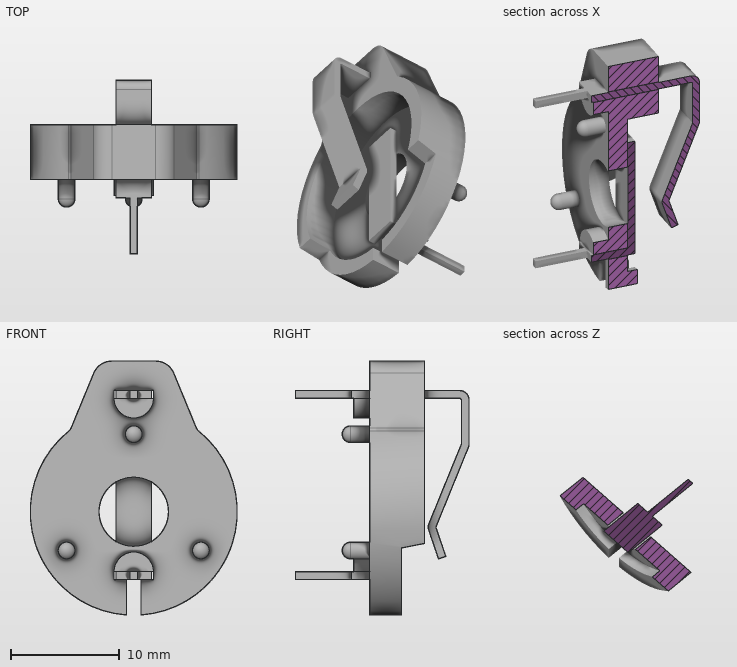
import cadquery as cq
import math


body_radius = 9.515
body_depth = 5.07
neck_top_z = 13.85
neck_half_width = 3.22
neck_flank_angle = 22.4
neck_top_fillet = 1.82
neck_root_fillet = 0.75
neck_foot_z = 5.84
floor_thickness = 1.98
pocket_radius = 8.0
hole_radius = 3.18
lip_depth = 2.95
step_back_z = -2.92
step_lip_z = -3.35
notch_width = 1.33

post_radius = 0.77
post_length = 2.52
post_circle_radius = 7.12
post_angles = (90, 210, 330)

strip_thickness = 0.72
blade_width = 3.3
slot_width = 3.62
boss_length = 1.47
shoulder_length = 1.65
pin_width = 0.65
pin_length = 6.82
upper_blade_z = 10.41
lower_blade_z = -5.5

tongue_top_z = 5.5

arm_inner_y = 8.43
top_bend_inner_radius = 0.16
arm_bend_z = 6.2
arm_length = 7.95
arm_angle = 22.2
tail_length = 2.85
tail_angle = 18.7


def extrude_y(sketch, start, end):
    """Extrude a profile drawn at the XZ origin plane between two Y values."""
    return sketch.extrude(start - end).translate((0, start, 0))


def xz():
    return cq.Workplane("XZ")


def block(width, y_start, y_end, z_bottom, z_top):
    """Box centred on x = 0."""
    return cq.Workplane("XY").box(
        width, y_end - y_start, z_top - z_bottom, centered=(True, False, False)
    ).translate((0, y_start, z_bottom))


def make_body():
    foot_half_width = neck_half_width + (neck_top_z - neck_foot_z) * math.tan(
        math.radians(neck_flank_angle)
    )
    neck_outline = xz().polyline([
        (-neck_half_width, neck_top_z),
        (neck_half_width, neck_top_z),
        (foot_half_width, neck_foot_z),
        (-foot_half_width, neck_foot_z),
    ]).close()
    neck = extrude_y(neck_outline, 0, body_depth)
    neck = neck.edges("|Y and >Z").fillet(neck_top_fillet)
    disc = extrude_y(xz().circle(body_radius), 0, body_depth)
    body = disc.union(neck)
    root_edges = body.edges("|Y").filter(lambda edge: neck_foot_z < edge.Center().z < body_radius)
    return root_edges.fillet(neck_root_fillet)


def make_step_cut():
    """Wedge that opens the cell side of the body at the bottom."""
    slope = (step_back_z - step_lip_z) / (body_depth - lip_depth)
    clear_y = 2 * body_depth
    clear_z = -2 * body_radius
    return cq.Workplane("YZ").polyline([
        (lip_depth, step_lip_z),
        (clear_y, step_lip_z + slope * (clear_y - lip_depth)),
        (clear_y, clear_z),
        (lip_depth, clear_z),
    ]).close().extrude(body_radius, both=True)


def make_boss(flat_z, direction):
    """Half-round boss on the mounting face; direction is +1 for up, -1 for down."""
    radius = slot_width / 2
    outline = xz().moveTo(-radius, flat_z).threePointArc(
        (0, flat_z + direction * radius), (radius, flat_z)
    ).close()
    return extrude_y(outline, -boss_length, 0)


def make_post(angle):
    """Round post with a hemispherical tip."""
    x = post_circle_radius * math.cos(math.radians(angle))
    z = post_circle_radius * math.sin(math.radians(angle))
    tip_center_y = post_radius - post_length
    shank = extrude_y(xz().center(x, z).circle(post_radius), tip_center_y, 0)
    tip = cq.Workplane("XY").sphere(post_radius).translate((x, tip_center_y, z))
    return shank.union(tip)


def make_housing():
    housing = make_body().cut(make_step_cut())
    housing = housing.cut(extrude_y(xz().circle(pocket_radius), floor_thickness, body_depth))
    housing = housing.cut(extrude_y(xz().circle(hole_radius), 0, body_depth))
    lower_slot_bottom = lower_blade_z - strip_thickness
    housing = housing.cut(block(notch_width, 0, body_depth, -body_radius, lower_slot_bottom))
    for slot_bottom in (upper_blade_z, lower_slot_bottom):
        housing = housing.cut(block(slot_width, 0, body_depth, slot_bottom, slot_bottom + strip_thickness))
    housing = housing.union(make_boss(upper_blade_z, -1)).union(make_boss(lower_blade_z, 1))
    for angle in post_angles:
        housing = housing.union(make_post(angle))
    return housing


def make_terminal(z_bottom, blade_end_y):
    """Flat blade with a narrow solder pin at its front end."""
    z_top = z_bottom + strip_thickness
    blade = block(blade_width, -shoulder_length, blade_end_y, z_bottom, z_top)
    return blade.union(block(pin_width, -pin_length, -shoulder_length, z_bottom, z_top))


def polar_point(point, distance, angle):
    """Point at a distance from another in YZ, angle in degrees from +Y."""
    radians = math.radians(angle)
    return (point[0] + distance * math.cos(radians), point[1] + distance * math.sin(radians))


def make_spring_arm():
    """Bent strip that starts at the back face and presses toward the pocket."""
    strip = strip_thickness
    blade_top = upper_blade_z + strip
    bend_center = (arm_inner_y - top_bend_inner_radius, upper_blade_z - top_bend_inner_radius)
    bend_outer_radius = top_bend_inner_radius + strip

    upper_pivot = (arm_inner_y, arm_bend_z)
    arm_down = 270 - arm_angle
    tail_down = 270 + tail_angle
    arm_outer_start = polar_point(upper_pivot, strip, -arm_angle)
    arm_inner_end = polar_point(upper_pivot, arm_length, arm_down)
    lower_pivot = polar_point(arm_inner_end, strip, -arm_angle)
    tail_inner_start = polar_point(lower_pivot, strip, 180 + tail_angle)
    tail_inner_end = polar_point(tail_inner_start, tail_length, tail_down)
    tail_outer_end = polar_point(lower_pivot, tail_length, tail_down)
    lower_bend_middle = polar_point(lower_pivot, strip, 180 + (tail_angle - arm_angle) / 2)

    profile = (
        cq.Workplane("YZ")
        .moveTo(body_depth, blade_top)
        .lineTo(bend_center[0], blade_top)
        .threePointArc(
            polar_point(bend_center, bend_outer_radius, 45), (arm_inner_y + strip, bend_center[1])
        )
        .lineTo(arm_inner_y + strip, arm_bend_z)
        .threePointArc(polar_point(upper_pivot, strip, -arm_angle / 2), arm_outer_start)
        .lineTo(*lower_pivot)
        .lineTo(*tail_outer_end)
        .lineTo(*tail_inner_end)
        .lineTo(*tail_inner_start)
        .threePointArc(lower_bend_middle, arm_inner_end)
        .lineTo(*upper_pivot)
        .lineTo(arm_inner_y, bend_center[1])
        .threePointArc(
            polar_point(bend_center, top_bend_inner_radius, 45), (bend_center[0], upper_blade_z)
        )
        .lineTo(body_depth, upper_blade_z)
        .close()
    )
    return profile.extrude(blade_width / 2, both=True)


def make_spring_contact():
    return make_terminal(upper_blade_z, body_depth).union(make_spring_arm())


def make_base_contact():
    """L-shaped contact: terminal through the floor, tongue against the cell side of it."""
    z_bottom = lower_blade_z - strip_thickness
    tongue = block(
        blade_width, floor_thickness, floor_thickness + strip_thickness, z_bottom, tongue_top_z
    )
    return make_terminal(z_bottom, floor_thickness).union(tongue)


housing = make_housing()
spring_contact = make_spring_contact()
base_contact = make_base_contact()

result = cq.Compound.makeCompound([housing.val(), spring_contact.val(), base_contact.val()])